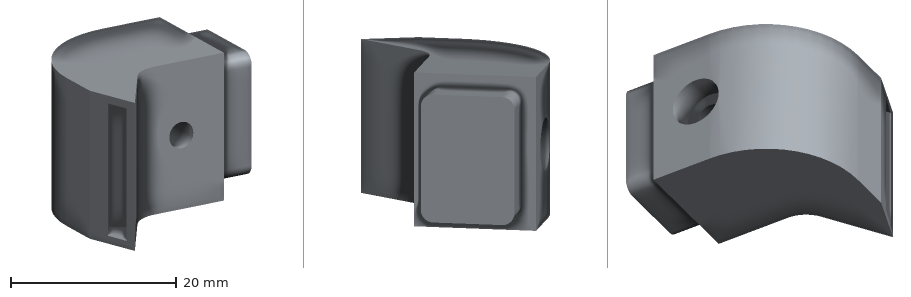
import cadquery as cq
import math

BODY_HEIGHT = 19.0
BODY_WIDTH = 15.0
BODY_BACK_Y = 21.0
OUTER_RADIUS = 13.0
FRONT_FLAT_END_X = 18.4
TIP_X = 25.0
BEVEL_ANGLE = 20.0
INNER_SLOPE_ANGLE = 33.0
INNER_RADIUS = 4.25

TAB_WIDTH = 11.5
TAB_HEIGHT = 15.8
TAB_LENGTH = 5.0
TAB_CORNER_RADIUS = 1.5

SCREW_Y = 15.0
SCREW_DIAMETER = 3.4
SCREW_HEAD_DIAMETER = 6.5
SCREW_HEAD_DEPTH = 3.4

SLOT_START_X = 21.1
SLOT_END_X = 23.8
SLOT_HEIGHT = 17.0
SLOT_DEPTH = 5.0

MID_Z = BODY_HEIGHT / 2


def bevel_point(x):
    """Point on the front bevel at the given X."""
    return (x, (x - FRONT_FLAT_END_X) * math.tan(math.radians(BEVEL_ANGLE)))


def make_body():
    tip = bevel_point(TIP_X)
    slope_rise = (TIP_X - BODY_WIDTH) * math.tan(math.radians(INNER_SLOPE_ANGLE))
    inner_corner = (BODY_WIDTH, tip[1] + slope_rise)
    arc_offset = OUTER_RADIUS * (1 - math.sqrt(0.5))
    body = (
        cq.Workplane("XY")
        .moveTo(0, BODY_BACK_Y)
        .lineTo(0, OUTER_RADIUS)
        .threePointArc((arc_offset, arc_offset), (OUTER_RADIUS, 0))
        .lineTo(FRONT_FLAT_END_X, 0)
        .lineTo(*tip)
        .lineTo(*inner_corner)
        .lineTo(BODY_WIDTH, BODY_BACK_Y)
        .close()
        .extrude(BODY_HEIGHT)
    )
    inner_edge = cq.selectors.NearestToPointSelector((*inner_corner, MID_Z))
    return body.edges("|Z").edges(inner_edge).fillet(INNER_RADIUS)


def make_tab():
    return (
        cq.Workplane("XY")
        .box(TAB_WIDTH, TAB_LENGTH, TAB_HEIGHT)
        .edges("|Y")
        .fillet(TAB_CORNER_RADIUS)
        .translate((BODY_WIDTH / 2, BODY_BACK_Y + TAB_LENGTH / 2, MID_Z))
    )


def cylinder_along_x(diameter, length):
    """Cylinder on the screw axis, starting at the X = 0 face."""
    return (
        cq.Workplane("YZ")
        .center(SCREW_Y, MID_Z)
        .circle(diameter / 2)
        .extrude(length)
    )


def make_screw_hole():
    shank = cylinder_along_x(SCREW_DIAMETER, BODY_WIDTH)
    head = cylinder_along_x(SCREW_HEAD_DIAMETER, SCREW_HEAD_DEPTH)
    return shank.union(head)


def make_slot():
    """Rectangular slot whose length follows the inner slope and is open at the bevel."""
    mouth_length = (SLOT_END_X - SLOT_START_X) / math.cos(math.radians(BEVEL_ANGLE))
    slot_width = mouth_length * math.sin(math.radians(INNER_SLOPE_ANGLE + BEVEL_ANGLE))
    return (
        cq.Workplane("XY")
        .box(SLOT_DEPTH, slot_width, SLOT_HEIGHT)
        .translate((-SLOT_DEPTH / 2, -slot_width / 2, 0))
        .rotate((0, 0, 0), (0, 0, 1), -INNER_SLOPE_ANGLE)
        .translate((*bevel_point(SLOT_END_X), MID_Z))
    )


result = make_body().union(make_tab()).cut(make_screw_hole()).cut(make_slot())